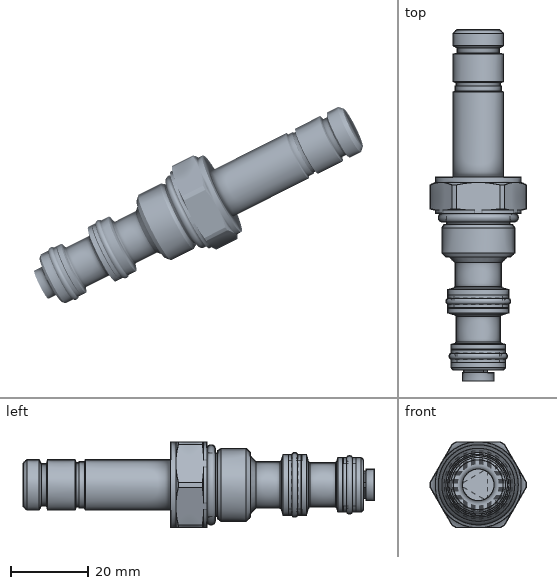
import cadquery as cq
import math

LENGTH = 91.1

button_radius = 4.1
button_length = 2.2
neck_radius = 3.8
neck_flat_distance = 2.5
neck_flat_count = 3

nose_face_y = 2.8
nose_chamfer = 0.6
land_face_angle = 16.0
root_taper = 0.3
root_length = 0.4
front_land_radius = 7.1
front_land_end_y = 9.5
front_stem_radius = 5.7
rear_land_start_y = 17.7
rear_land_radius = 7.9
rear_land_end_y = 23.7
rear_stem_radius = 6.0

seal_section_radius = 0.8
seal_protrusion = 0.5
band_width = 3.3
band_clearance = 0.2
band_thickness = 1.6
front_seal_y = 6.5
rear_seal_y = 20.7

cone_start_y = 30.7
plug_face_y = 32.15
cone_end_radius = 7.5
plug_radius = 9.5
plug_front_chamfer = 1.1
plug_rear_chamfer_length = 0.9
plug_rear_chamfer_depth = 0.6
plug_end_y = 40.6

port_ring_section_radius = 1.1
port_ring_outer_radius = 10.4

hex_side_count = 6
hex_start_y = 43.4
hex_end_y = 52.8
hex_across_flats = 22.2
hex_corner_radius = 12.5
hex_front_collar_proud = 0.05
hex_front_collar_length = 0.8
hex_front_bevel = 0.4
hex_rear_collar_length = 1.4
hex_rear_bevel = 0.6

tube_radius = 6.6
tube_end_chamfer = 1.0
crimp_start_y = 74.9
crimp_taper = 0.3
crimp_lip_radius = 6.0
crimp_step_y = 76.5
crimp_groove_radius = 5.7
crimp_end_y = 77.6
clip_groove_radius = 5.5
clip_groove_start_y = 84.7
clip_groove_end_y = 86.9
clip_groove_front_taper = 0.3
clip_groove_rear_taper = 0.55

hex_flat_distance = hex_across_flats / 2
hex_front_collar_radius = hex_flat_distance + hex_front_collar_proud
port_ring_centre_radius = port_ring_outer_radius - port_ring_section_radius
port_groove_radius = port_ring_centre_radius - port_ring_section_radius
port_ring_y = hex_start_y - port_ring_section_radius


def turned(profile):
    """Solid of revolution about Y from (radius, y) points listed along the axis."""
    points = [(0, profile[0][1]), *profile, (0, profile[-1][1])]
    return cq.Workplane("XY").polyline(points).close().revolve(axisStart=(0, 0, 0), axisEnd=(0, 1, 0))


def cylinder(radius, start_y, end_y):
    return turned([(radius, start_y), (radius, end_y)])


def prism(side_count, flat_distance, start_y, end_y):
    """Regular prism along Y with one corner on the -X axis."""
    corner_distance = flat_distance / math.cos(math.pi / side_count)
    corners = []
    for index in range(side_count):
        angle = math.pi + 2 * math.pi * index / side_count
        corners.append((corner_distance * math.cos(angle), corner_distance * math.sin(angle)))
    base = cq.Workplane("XZ", origin=(0, start_y, 0))
    return base.polyline(corners).close().extrude(start_y - end_y)


def ring(centre_radius, section_radius, y):
    """O-ring around Y."""
    section = cq.Workplane("XY").center(centre_radius, y).circle(section_radius)
    return section.revolve(axisStart=(-centre_radius, 0, 0), axisEnd=(-centre_radius, 1, 0))


def band(land_radius, y):
    """Plain backing band, flush with its land."""
    start_y = y - band_width / 2
    end_y = y + band_width / 2
    return cylinder(land_radius, start_y, end_y).cut(cylinder(land_radius - band_thickness, start_y, end_y))


def seal_ring(land_radius, y):
    """O-ring that stands proud of its land."""
    centre_radius = land_radius + seal_protrusion - seal_section_radius
    return ring(centre_radius, seal_section_radius, y)


def nose_button():
    neck = cylinder(neck_radius, button_length, nose_face_y)
    neck = neck.intersect(prism(neck_flat_count, neck_flat_distance, button_length, nose_face_y))
    return cylinder(button_radius, 0, button_length).union(neck)


def land_face_depth(land_radius, face_radius):
    """Axial depth of the shallow conical end face of a land."""
    return (land_radius - face_radius) * math.tan(math.radians(land_face_angle))


def nose_and_plug():
    front_face_radius = front_stem_radius + root_taper
    rear_face_radius = rear_stem_radius + root_taper
    front_land_root_y = front_land_end_y + land_face_depth(front_land_radius, front_face_radius)
    rear_land_front_root_y = rear_land_start_y - land_face_depth(rear_land_radius, front_face_radius)
    rear_land_rear_root_y = rear_land_end_y + land_face_depth(rear_land_radius, rear_face_radius)
    return turned([
        (front_land_radius - nose_chamfer, nose_face_y),
        (front_land_radius, nose_face_y + nose_chamfer),
        (front_land_radius, front_land_end_y),
        (front_face_radius, front_land_root_y),
        (front_stem_radius, front_land_root_y + root_length),
        (front_stem_radius, rear_land_front_root_y - root_length),
        (front_face_radius, rear_land_front_root_y),
        (rear_land_radius, rear_land_start_y),
        (rear_land_radius, rear_land_end_y),
        (rear_face_radius, rear_land_rear_root_y),
        (rear_stem_radius, rear_land_rear_root_y + root_length),
        (rear_stem_radius, cone_start_y),
        (cone_end_radius, plug_face_y),
        (plug_radius - plug_front_chamfer, plug_face_y),
        (plug_radius, plug_face_y + plug_front_chamfer),
        (plug_radius, plug_end_y - plug_rear_chamfer_length),
        (plug_radius - plug_rear_chamfer_depth, plug_end_y),
        (port_groove_radius, plug_end_y),
        (port_groove_radius, hex_start_y),
    ])


def hexagon():
    front_shoulder_y = hex_start_y + hex_front_collar_length
    rear_shoulder_y = hex_end_y - hex_rear_collar_length
    envelope = turned([
        (hex_front_collar_radius, hex_start_y),
        (hex_front_collar_radius, front_shoulder_y),
        (hex_corner_radius, front_shoulder_y + hex_front_bevel),
        (hex_corner_radius, rear_shoulder_y - hex_rear_bevel),
        (hex_flat_distance, rear_shoulder_y),
        (hex_flat_distance, hex_end_y),
    ])
    return envelope.intersect(prism(hex_side_count, hex_flat_distance, hex_start_y, hex_end_y))


def tube():
    return turned([
        (tube_radius, hex_end_y),
        (tube_radius, crimp_start_y),
        (crimp_lip_radius, crimp_start_y + crimp_taper),
        (crimp_lip_radius, crimp_step_y),
        (crimp_groove_radius, crimp_step_y),
        (crimp_groove_radius, crimp_end_y - crimp_taper),
        (tube_radius, crimp_end_y),
        (tube_radius, clip_groove_start_y),
        (clip_groove_radius, clip_groove_start_y + clip_groove_front_taper),
        (clip_groove_radius, clip_groove_end_y - clip_groove_rear_taper),
        (tube_radius, clip_groove_end_y),
        (tube_radius, LENGTH - tube_end_chamfer),
        (tube_radius - tube_end_chamfer, LENGTH),
    ])


valve_body = nose_button().union(nose_and_plug()).union(hexagon()).union(tube())
port_ring = ring(port_ring_centre_radius, port_ring_section_radius, port_ring_y)

seal_rings = []
backing_bands = []
for land_radius, seal_y, clearance_shift in [
    (front_land_radius, front_seal_y, band_clearance),
    (rear_land_radius, rear_seal_y, -band_clearance),
]:
    backing_band = band(land_radius, seal_y)
    seal = seal_ring(land_radius, seal_y)
    clearance = backing_band.translate((0, clearance_shift, 0))
    valve_body = valve_body.cut(backing_band).cut(clearance)
    backing_bands.append(backing_band.cut(seal).val())
    seal_rings.append(seal.val())

result = cq.Compound.makeCompound([valve_body.val(), port_ring.val(), *seal_rings, *backing_bands])